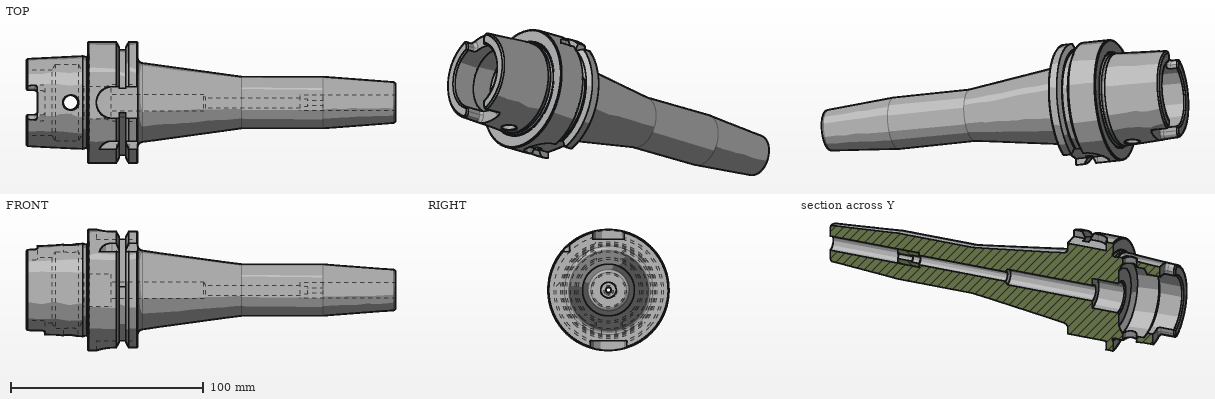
import cadquery as cq
import math


shank_length = 32.0
gauge_diameter = 48.04
gauge_distance = 6.3
taper_slope = 0.05
cone_end = -2.6
shank_end_chamfer = 0.8
face_recess_radius = 25.2
face_recess_depth = 0.6
relief_radius = 23.8
relief_start = -1.2
relief_end = -0.6
recess_floor_radius = 24.4

flange_radius = 63.0 / 2
flange_width = 26.0
flange_chamfer = 0.5
groove_center = 18.0
groove_floor_width = 3.2
groove_mouth_width = 6.6
groove_floor_radius = 27.5
groove_flank_angle = 30.0

total_length = 192.0
neck_fillet = 2.5
neck_root_radius = 20.9
neck_radius = 27.0 / 2
neck_cone_end = 79.7
nose_start = 122.0
nose_end = total_length - shank_length
nose_radius = 21.2 / 2
nose_fillet = 1.5

bore_radius = 34.0 / 2
bore_mouth_radius = 17.8
bore_lip_end = -18.8
undercut_radius = 40.0 / 2
undercut_angle = 60.0
undercut_end = -5.0
bore_floor = -3.0
floor_rim_radius = 16.0
thread_radius = 16.92 / 2
thread_mouth_radius = 18.4 / 2
thread_end = 12.0
feed_radius = 8.75 / 2
feed_end = 60.0
passage_radius = 5.2 / 2
drill_point_angle = 59.0

tool_bore_radius = 7.99 / 2
tool_bore_depth = 50.0
tool_bore_floor = nose_end - tool_bore_depth
screw_length = 12.0
screw_hole_radius = 2.6 / 2
screw_socket_radius = 3.7 / 2
screw_socket_depth = 4.0

cross_hole_position = -9.0
cross_hole_diameter = 7.5
cross_hole_mouth_diameter = 8.5

drive_slot_half_width = 12.54 / 2
drive_slot_edge_radius = 3.1
drive_slot_shoulder = 18.0
drive_slot_fillet = 1.5
drive_slot_chamfer = 0.8
upper_slot_floor = -26.2
lower_slot_floor = -22.3

keyway_floor = 26.5
keyway_end = 4.4
upper_keyway_width = 16.4
lower_keyway_width = 19.2
notch_floor = 20.0
notch_start = 5.5
notch_end_radius = 7.0
flat_angle = 138.0
flat_distance = 21.6


def cone_radius(x):
    return gauge_diameter / 2 + taper_slope * (x + gauge_distance)


def revolve_about_x(profile):
    return profile.close().revolve(360, (0, 0, 0), (1, 0, 0))


def outer_body():
    def on_neck_fillet(angle):
        x = fillet_center[0] - neck_fillet * math.sin(angle)
        y = fillet_center[1] - neck_fillet * math.cos(angle)
        return (x, y)

    neck_slope = (neck_root_radius - neck_radius) / (neck_cone_end - flange_width)
    neck_angle = math.atan(neck_slope)
    fillet_center = (
        flange_width + neck_fillet,
        neck_root_radius - neck_fillet * neck_slope + neck_fillet / math.cos(neck_angle),
    )
    fillet_end = on_neck_fillet(neck_angle)
    fillet_middle = on_neck_fillet((neck_angle + math.pi / 2) / 2)

    end = -shank_length
    groove_slope = math.tan(math.radians(groove_flank_angle))
    flank_run = (groove_mouth_width - groove_floor_width) / 2
    shoulder_radius = flange_radius - flank_run / groove_slope
    mouth_left = groove_center - groove_mouth_width / 2
    mouth_right = groove_center + groove_mouth_width / 2
    floor_left = groove_center - groove_floor_width / 2
    floor_right = groove_center + groove_floor_width / 2
    profile = (
        cq.Workplane("XY")
        .moveTo(end, 0)
        .lineTo(end, cone_radius(end) - shank_end_chamfer)
        .lineTo(end + shank_end_chamfer, cone_radius(end + shank_end_chamfer))
        .lineTo(cone_end, cone_radius(cone_end))
        .lineTo(relief_start, relief_radius)
        .lineTo(relief_end, relief_radius)
        .lineTo(face_recess_depth, recess_floor_radius)
        .lineTo(face_recess_depth, face_recess_radius)
        .lineTo(0, face_recess_radius)
        .lineTo(0, flange_radius - flange_chamfer)
        .lineTo(flange_chamfer, flange_radius)
        .lineTo(mouth_left, flange_radius)
        .lineTo(floor_left, shoulder_radius)
        .lineTo(floor_left, groove_floor_radius)
        .lineTo(floor_right, groove_floor_radius)
        .lineTo(floor_right, shoulder_radius)
        .lineTo(mouth_right, flange_radius)
        .lineTo(flange_width - flange_chamfer, flange_radius)
        .lineTo(flange_width, flange_radius - flange_chamfer)
        .lineTo(flange_width, fillet_center[1])
        .threePointArc(fillet_middle, fillet_end)
        .lineTo(neck_cone_end, neck_radius)
        .lineTo(nose_start, neck_radius)
        .lineTo(nose_end, nose_radius)
        .lineTo(nose_end, 0)
    )
    body = revolve_about_x(profile)
    return body.faces(">X").edges().fillet(nose_fillet)


def inner_bore():
    lip_slope_run = (undercut_radius - bore_radius) / math.tan(math.radians(undercut_angle))
    point_length = (feed_radius - passage_radius) / math.tan(math.radians(drill_point_angle))
    mouth_chamfer = bore_mouth_radius - bore_radius
    thread_chamfer = thread_mouth_radius - thread_radius
    profile = (
        cq.Workplane("XY")
        .moveTo(-shank_length, 0)
        .lineTo(-shank_length, bore_mouth_radius)
        .lineTo(-shank_length + mouth_chamfer, bore_radius)
        .lineTo(bore_lip_end, bore_radius)
        .lineTo(bore_lip_end + lip_slope_run, undercut_radius)
        .lineTo(undercut_end, undercut_radius)
        .lineTo(bore_floor, floor_rim_radius)
        .lineTo(bore_floor, thread_mouth_radius)
        .lineTo(bore_floor + thread_chamfer, thread_radius)
        .lineTo(thread_end, thread_radius)
        .lineTo(thread_end, feed_radius)
        .lineTo(feed_end, feed_radius)
        .lineTo(feed_end + point_length, passage_radius)
        .lineTo(tool_bore_floor, passage_radius)
        .lineTo(tool_bore_floor, tool_bore_radius)
        .lineTo(nose_end, tool_bore_radius)
        .lineTo(nose_end, 0)
    )
    return revolve_about_x(profile)


def drive_slot(floor, side):
    """Slot across one wall of the shank end; side is +1 for +Z and -1 for -Z."""
    half = drive_slot_half_width
    edge = drive_slot_edge_radius
    shoulder = drive_slot_shoulder
    reach = flange_radius
    bend = edge * (1 - math.sqrt(0.5))
    profile = (
        cq.Workplane("YZ", origin=(-shank_length, 0, 0))
        .moveTo(-half, 0)
        .lineTo(-half, shoulder)
        .threePointArc((-half - bend, shoulder + edge - bend), (-half - edge, shoulder + edge))
        .lineTo(-half - edge, reach)
        .lineTo(half + edge, reach)
        .lineTo(half + edge, shoulder + edge)
        .threePointArc((half + bend, shoulder + edge - bend), (half, shoulder))
        .lineTo(half, 0)
        .close()
    )
    slot = profile.extrude(floor + shank_length)
    slot = slot.faces(">X").edges("not(<Z or >Z)").fillet(drive_slot_fillet)
    return slot if side > 0 else slot.mirror("XY")


def chamfer_drive_slots(body):
    """Chamfer the slot edges on the end face of the shank."""
    reach = drive_slot_half_width + drive_slot_edge_radius
    slot_zone = cq.selectors.BoxSelector(
        (-shank_length - drive_slot_chamfer, -reach, -flange_radius),
        (-shank_length + drive_slot_chamfer, reach, flange_radius),
    )
    edges = body.faces("<X").edges(slot_zone)
    return edges.chamfer(drive_slot_chamfer)


def cross_hole():
    """Hole along Z through both walls, with a small countersink at each outer end."""
    countersink_depth = (cross_hole_mouth_diameter - cross_hole_diameter) / 2
    wall_radius = cone_radius(cross_hole_position)
    countersink = cq.Workplane("XY").add(
        cq.Solid.makeCone(
            cross_hole_diameter / 2,
            cross_hole_mouth_diameter / 2,
            countersink_depth,
            cq.Vector(cross_hole_position, 0, wall_radius - countersink_depth),
        )
    )
    hole = (
        cq.Workplane("XY", origin=(cross_hole_position, 0, -flange_radius))
        .circle(cross_hole_diameter / 2)
        .extrude(2 * flange_radius)
    )
    return hole.union(countersink).union(countersink.mirror("XY"))


def keyway(width, side):
    """Round-ended keyway milled into the flange from +Z or -Z."""
    radius = width / 2
    return (
        cq.Workplane("XY", origin=(0, 0, side * keyway_floor))
        .moveTo(flange_width, -radius)
        .lineTo(keyway_end + radius, -radius)
        .threePointArc((keyway_end, 0), (keyway_end + radius, radius))
        .lineTo(flange_width, radius)
        .close()
        .extrude(side * radius)
    )


def orientation_notch():
    return (
        cq.Workplane("XY", origin=(0, 0, notch_floor))
        .moveTo(notch_start, -flange_radius)
        .lineTo(notch_start, -notch_floor - notch_end_radius)
        .radiusArc((notch_start + notch_end_radius, -notch_floor), notch_end_radius)
        .lineTo(flange_width, -notch_floor)
        .lineTo(flange_width, -flange_radius)
        .close()
        .extrude(flange_radius)
    )


def groove_flat():
    depth = flange_radius - flat_distance
    block = cq.Workplane("XY").box(groove_floor_width, depth, 2 * flange_radius)
    block = block.translate((groove_center, flat_distance + depth / 2, 0))
    return block.rotate((0, 0, 0), (1, 0, 0), flat_angle)


def stop_screw():
    """Screw at the inner end of the tool bore, with a round socket facing the shank."""
    seat = cq.Workplane("YZ", origin=(tool_bore_floor, 0, 0))
    shaft = seat.circle(tool_bore_radius).circle(screw_hole_radius).extrude(screw_length)
    socket = seat.circle(screw_socket_radius).extrude(screw_socket_depth)
    return shaft.cut(socket)


holder = outer_body().cut(inner_bore())
holder = holder.cut(drive_slot(upper_slot_floor, 1)).cut(drive_slot(lower_slot_floor, -1))
holder = chamfer_drive_slots(holder)
holder = holder.cut(cross_hole())
holder = holder.cut(keyway(upper_keyway_width, 1)).cut(keyway(lower_keyway_width, -1))
holder = holder.cut(orientation_notch()).cut(groove_flat())

screw = stop_screw()

result = cq.Compound.makeCompound([holder.val(), screw.val()])